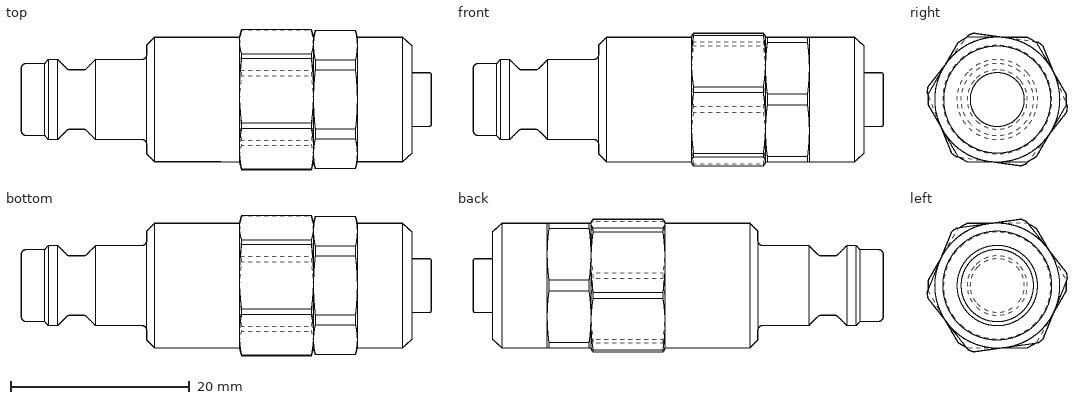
import cadquery as cq
import math

OVERALL_LENGTH = 45.95

NOSE_DIA = 8.1
NOSE_ROUND = 0.6
PLUG_DIA = 9.0
RIDGE_START = 2.65
RIDGE_FULL = 3.05
RIDGE_END = 4.1
GROOVE_DIA = 6.7
GROOVE_FILLET = 0.4
GROOVE_CONE_ANGLE = 45.0
GROOVE_END = 8.35
PLUG_ROOT_FILLET = 0.5

BODY_DIA = 14.0
BODY_START = 14.05
BODY_CHAMFER = 0.9

HEX_SIDES = 6
ACROSS_FLATS = BODY_DIA
FLAT_UP_TURN = 30.0
HEX_CHAMFER_ANGLE = 15.0
BIG_HEX_START = 24.45
BIG_HEX_END = 32.75
BIG_HEX_CORNER_DIA = 15.8
BIG_HEX_TURN = -8.0
SMALL_HEX_END = 37.65
SMALL_HEX_TURN = 0.0
SMALL_HEX_CORNER_DIA = 15.5
SLEEVE_DIA = BODY_DIA
SLEEVE_END = 43.8
SLEEVE_FACE_DIA = 12.0
SLEEVE_CHAMFER_LENGTH = 1.1

STUB_DIA = 6.05
STUB_ROUND = 0.25


def cylinder(dia, start, end):
    """Cylinder along X between two stations."""
    return cq.Workplane("YZ", origin=(start, 0, 0)).circle(dia / 2).extrude(end - start)


def revolve_profile(profile):
    """Revolve a closed XY profile about the X axis."""
    return profile.close().revolve(360, (0, 0, 0), (1, 0, 0))


def make_plug():
    """Nose with its ridge, the locking groove and the plain shank up to the body."""
    nose_r = NOSE_DIA / 2
    plug_r = PLUG_DIA / 2
    groove_r = GROOVE_DIA / 2
    cone_angle = math.radians(GROOVE_CONE_ANGLE)
    half_angle = cone_angle / 2
    cone_length = (plug_r - groove_r) / math.tan(cone_angle)

    tangent = GROOVE_FILLET * math.tan(half_angle)
    cone_dx = tangent * math.cos(cone_angle)
    cone_dr = tangent * math.sin(cone_angle)
    arc_mid_x = GROOVE_FILLET * math.sin(half_angle)
    arc_mid_r = GROOVE_FILLET * (1 - math.cos(half_angle))
    front_corner = RIDGE_END + cone_length
    rear_corner = GROOVE_END - cone_length
    front_flat = front_corner + tangent
    rear_flat = rear_corner - tangent

    nose_arc = NOSE_ROUND * (1 - math.sqrt(0.5))
    root_arc = PLUG_ROOT_FILLET * (1 - math.sqrt(0.5))
    profile = (
        cq.Workplane("XY")
        .moveTo(0, 0)
        .lineTo(0, nose_r - NOSE_ROUND)
        .threePointArc((nose_arc, nose_r - nose_arc), (NOSE_ROUND, nose_r))
        .lineTo(RIDGE_START, nose_r)
        .lineTo(RIDGE_FULL, plug_r)
        .lineTo(RIDGE_END, plug_r)
        .lineTo(front_corner - cone_dx, groove_r + cone_dr)
        .threePointArc((front_flat - arc_mid_x, groove_r + arc_mid_r), (front_flat, groove_r))
        .lineTo(rear_flat, groove_r)
        .threePointArc(
            (rear_flat + arc_mid_x, groove_r + arc_mid_r),
            (rear_corner + cone_dx, groove_r + cone_dr),
        )
        .lineTo(GROOVE_END, plug_r)
        .lineTo(BODY_START - PLUG_ROOT_FILLET, plug_r)
        .threePointArc(
            (BODY_START - root_arc, plug_r + root_arc),
            (BODY_START, plug_r + PLUG_ROOT_FILLET),
        )
        .lineTo(BODY_START, 0)
    )
    return revolve_profile(profile)


def make_body():
    return cylinder(BODY_DIA, BODY_START, BIG_HEX_START).faces("<X").chamfer(BODY_CHAMFER)


def make_hex(start, end, corner_dia, turn):
    """Hexagon with corners rounded to corner_dia and both ends chamfered from the flats outward."""
    flat_r = ACROSS_FLATS / 2
    corner_r = corner_dia / 2
    chamfer = (corner_r - flat_r) * math.tan(math.radians(HEX_CHAMFER_ANGLE))
    blank = revolve_profile(
        cq.Workplane("XY")
        .moveTo(start, 0)
        .lineTo(start, flat_r)
        .lineTo(start + chamfer, corner_r)
        .lineTo(end - chamfer, corner_r)
        .lineTo(end, flat_r)
        .lineTo(end, 0)
    )
    prism = (
        cq.Workplane("YZ", origin=(start, 0, 0))
        .polygon(HEX_SIDES, ACROSS_FLATS, circumscribed=True)
        .extrude(end - start)
        .rotate((0, 0, 0), (1, 0, 0), FLAT_UP_TURN + turn)
    )
    return blank.intersect(prism)


def make_sleeve():
    chamfer_depth = (SLEEVE_DIA - SLEEVE_FACE_DIA) / 2
    sleeve = cylinder(SLEEVE_DIA, SMALL_HEX_END, SLEEVE_END)
    return sleeve.faces(">X").edges().chamfer(SLEEVE_CHAMFER_LENGTH, chamfer_depth)


def make_stub():
    return cylinder(STUB_DIA, SLEEVE_END, OVERALL_LENGTH).faces(">X").edges().fillet(STUB_ROUND)


result = (
    make_plug()
    .union(make_body())
    .union(make_hex(BIG_HEX_START, BIG_HEX_END, BIG_HEX_CORNER_DIA, BIG_HEX_TURN))
    .union(make_hex(BIG_HEX_END, SMALL_HEX_END, SMALL_HEX_CORNER_DIA, SMALL_HEX_TURN))
    .union(make_sleeve())
    .union(make_stub())
)